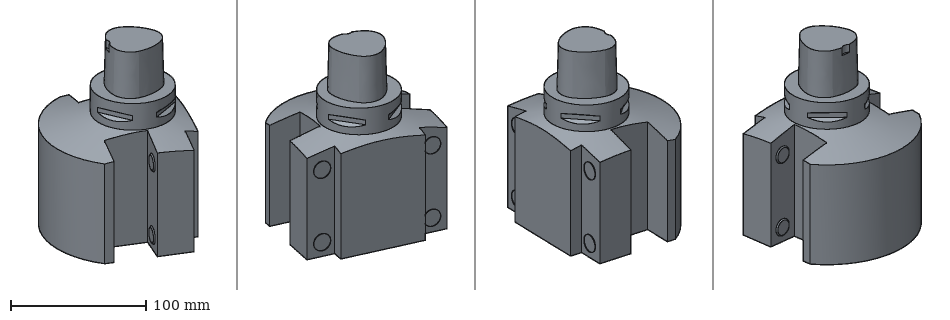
import cadquery as cq
import math

total_height = 153.0

body_radius = 70.0
body_half_width = 58.0
cone_angle = 15.0
tongue_half_width = 35.0
tongue_back_y = 40.0
arm_back_y = 30.0
arm_front_y = 1.5
neck_half_width = 33.0
head_back_y = -32.0

flange_radius = 63.0 / 2
flange_height = 22.0

groove_count = 4
groove_floor_distance = 27.9
groove_floor_width = 3.8
groove_side_angle = 30.0
groove_below_shoulder = 12.0

shank_length = 38.0
shank_lobe_reach = 23.4
shank_flat_reach = 20.65
shank_lobe_radius = 15.4
shank_taper_rise = 40.0

notch_radius = 5.5
notch_depth = 6.4
notch_bottom_y = -18.0

pad_x = 45.5
pad_heights = (12.0, 72.0)
pad_diameter = 14.0
front_pad_taper = 45.0
front_pad_projection = 1.0
back_pad_projection = 0.5

shoulder_z = total_height - shank_length
cone_top_z = shoulder_z - flange_height
cone_rim_z = cone_top_z - (body_radius - flange_radius) * math.tan(math.radians(cone_angle))


def make_body():
    """Turned blank with a conical top, trimmed to the stepped outline."""
    blank = (
        cq.Workplane("XZ")
        .polyline([
            (0, 0),
            (body_radius, 0),
            (body_radius, cone_rim_z),
            (flange_radius, cone_top_z),
            (0, cone_top_z),
        ])
        .close()
        .revolve(360, (0, 0, 0), (0, 1, 0))
    )
    right_half = [
        (tongue_half_width, tongue_back_y),
        (tongue_half_width, arm_back_y),
        (body_half_width, arm_back_y),
        (body_half_width, arm_front_y),
        (neck_half_width, arm_front_y),
        (neck_half_width, head_back_y),
        (body_half_width, head_back_y),
        (body_half_width, -body_radius),
    ]
    left_half = [(-x, y) for x, y in reversed(right_half)]
    outline = cq.Workplane("XY").polyline(right_half + left_half).close().extrude(cone_top_z)
    return blank.intersect(outline)


def make_flange():
    """Round flange with flat-bottomed, sloped-sided gripper grooves."""
    flange = cq.Workplane("XY").workplane(offset=cone_top_z).circle(flange_radius).extrude(flange_height)
    groove_z = shoulder_z - groove_below_shoulder
    groove_depth = flange_radius - groove_floor_distance
    floor_half = groove_floor_width / 2
    mouth_half = floor_half + groove_depth * math.tan(math.radians(groove_side_angle))
    cutter = (
        cq.Workplane("XZ")
        .polyline([
            (groove_floor_distance, groove_z - floor_half),
            (flange_radius, groove_z - mouth_half),
            (flange_radius, groove_z + mouth_half),
            (groove_floor_distance, groove_z + floor_half),
        ])
        .close()
        .extrude(flange_radius, both=True)
    )
    pitch = 360 / groove_count
    for index in range(groove_count):
        angle = (index + 0.5) * pitch
        flange = flange.cut(cutter.rotate((0, 0, 0), (0, 0, 1), angle))
    return flange


def polar(distance, angle):
    """Point at a distance from the axis, with the angle in degrees from +X."""
    return (distance * math.cos(math.radians(angle)), distance * math.sin(math.radians(angle)))


def make_shank():
    """Tapered shank with lobes at 90, 210 and 330 degrees and a notch in the -Y flat."""
    lobe_count = 3
    pitch = 360 / lobe_count

    lobe_center = shank_lobe_reach - shank_lobe_radius
    gap = shank_flat_reach - shank_lobe_radius
    flat_center = (gap**2 - lobe_center**2) / (lobe_center - 2 * gap)
    lobe_x, lobe_y = polar(lobe_center, pitch / 2)
    half_flat_angle = math.degrees(math.atan2(lobe_y, lobe_x + flat_center))
    flat_radius = flat_center + shank_flat_reach
    joint_x = flat_radius * math.cos(math.radians(half_flat_angle)) - flat_center
    joint_y = flat_radius * math.sin(math.radians(half_flat_angle))
    joint_distance = math.hypot(joint_x, joint_y)
    joint_angle = math.degrees(math.atan2(joint_y, joint_x))

    first_flat = -90
    outline = cq.Workplane("XY").workplane(offset=shoulder_z)
    outline = outline.moveTo(*polar(joint_distance, first_flat - joint_angle))
    for index in range(lobe_count):
        flat = first_flat + index * pitch
        flat_end = polar(joint_distance, flat + joint_angle)
        lobe_end = polar(joint_distance, flat + pitch - joint_angle)
        outline = outline.threePointArc(polar(shank_flat_reach, flat), flat_end)
        outline = outline.threePointArc(polar(shank_lobe_reach, flat + pitch / 2), lobe_end)
    taper_angle = math.degrees(math.atan(1 / shank_taper_rise))
    shank = outline.close().extrude(shank_length, taper=taper_angle)

    notch = (
        cq.Workplane("XY")
        .workplane(offset=total_height - notch_depth)
        .center(0, notch_bottom_y - notch_radius)
        .circle(notch_radius)
        .extrude(notch_depth)
    )
    return shank.cut(notch)


def make_pads():
    """Tapered pads on the arm fronts and plain pads on the arm backs."""
    centers = [(x, z) for x in (-pad_x, pad_x) for z in pad_heights]
    front = (
        cq.Workplane("XZ", origin=(0, arm_front_y, 0))
        .pushPoints(centers)
        .circle(pad_diameter / 2)
        .extrude(front_pad_projection, taper=front_pad_taper)
    )
    back = (
        cq.Workplane("XZ", origin=(0, arm_back_y, 0))
        .pushPoints(centers)
        .circle(pad_diameter / 2)
        .extrude(-back_pad_projection)
    )
    return front.union(back)


result = make_body().union(make_flange()).union(make_shank()).union(make_pads())